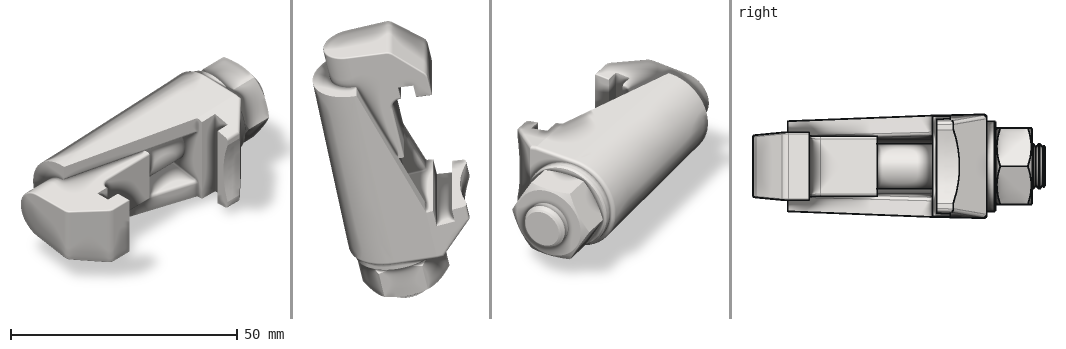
import cadquery as cq
import math


TOTAL_LENGTH = 64.55

STUD_DIAMETER = 10.0
STUD_RADIUS = STUD_DIAMETER / 2
STUD_ROOT_RADIUS = 4.25
STUD_END_RADIUS = 4.2
STUD_LEAD_RADIUS = 4.6
STUD_LEAD_LENGTH = 0.25
STUD_ENGAGEMENT = STUD_DIAMETER
STUD_TOP = 12.85
THREAD_PITCH = 1.5
FIRST_ROOT_DEPTH = 0.5
CREST_WIDTH = 0.2
EXPOSED_THREADS = 2

WASHER_RADIUS = 10.0
WASHER_THICKNESS = 2.0
WASHER_CHAMFER = 0.4
NUT_ACROSS_FLATS = 17.0
NUT_HEIGHT = 8.0
NUT_TOP = WASHER_THICKNESS + NUT_HEIGHT
NUT_FACE_RADIUS = 8.1
NUT_CHAMFER_ANGLE = 30

HOUSING_LENGTH = 44.0
HOUSING_TOP_RADIUS = 11.0
HOUSING_DRAFT = 1.3
HOUSING_SIDE_ANGLE = 3.3
RIDGE_X = 9.0
FLANGE_SIDE_ANGLE = 8.5
FLANGE_TIP_X = 17.75
FLANGE_SHOULDER_X = 10.3
FLANGE_TIP_Y = -11.1
JAW_SLOT_TOP_Y = -8.05
JAW_SLOT_X = (10.5, 14.6)
LEDGE_Y = -12.0
TIP_HOLLOW_RADIUS = 25.0
TIP_HOLLOW_DEPTH = 1.35
HOUSING_ROUND = 0.8
LEDGE_ROUND = 0.4

SHANK_RADIUS = 6.0
SHANK_SIDE_ANGLE = 5.5
HOOK_TOP_Y = -24.25
HOOK_BOTTOM_Y = STUD_TOP - TOTAL_LENGTH
STUD_BOTTOM = HOOK_TOP_Y - STUD_ENGAGEMENT
HOOK_BACK_X = 6.6
HOOK_TIP_X = 16.0
HOOK_TIP_Y = -39.25
HOOK_SLOT_FLOOR_Y = -42.4
HOOK_SLOT_X = (9.0, 12.45)
HOOK_BEVEL = 7.0
HOOK_BEVEL_ROUND = 2.0
HOOK_EDGE_ROUND = 0.3
HOOK_BACK_ROUND = 0.5

FULL_WIDTH = 32.3


def disc(radius, y_low, y_high):
    """Solid cylinder on the stud axis."""
    return cq.Workplane("XZ", origin=(0, y_high, 0)).circle(radius).extrude(y_high - y_low)


def plate(outline):
    """Closed outline in X and Y, made thick along Z on both sides of the stud axis."""
    return outline.extrude(FULL_WIDTH / 2, both=True)


def turn(profile):
    """Half profile of (radius, y) points, turned about the stud axis."""
    return cq.Workplane("XY").polyline(profile).close().revolve(360, (0, 0, 0), (0, 1, 0))


def u_section(y, radius, side_angle, end_x, tip=()):
    """Round-backed section whose straight sides leave the arc at side_angle and end at end_x.

    The optional tip, an end x and an angle, carries the sides on beyond end_x, closing again.
    """
    angle = math.radians(side_angle)
    tangent_x = -radius * math.sin(angle)
    tangent_z = radius * math.cos(angle)
    end_z = tangent_z + (end_x - tangent_x) * math.tan(angle)
    upper = [(tangent_x, tangent_z), (end_x, end_z)]
    if tip:
        tip_x, tip_angle = tip
        upper.append((tip_x, end_z - (tip_x - end_x) * math.tan(math.radians(tip_angle))))
    section = cq.Workplane("XZ", origin=(0, y, 0)).moveTo(*upper[0])
    for point in upper[1:]:
        section = section.lineTo(*point)
    for x, z in reversed(upper):
        section = section.lineTo(x, -z)
    return section.threePointArc((-radius, 0), upper[0]).close()


def make_housing():
    drafted = u_section(
        0, HOUSING_TOP_RADIUS, HOUSING_SIDE_ANGLE, RIDGE_X, tip=(2 * FLANGE_TIP_X, FLANGE_SIDE_ANGLE)
    ).extrude(HOUSING_LENGTH, taper=HOUSING_DRAFT)

    left_x = -2 * HOUSING_TOP_RADIUS
    outline = [
        (left_x, 0),
        (FLANGE_SHOULDER_X, 0),
        (FLANGE_TIP_X, FLANGE_SHOULDER_X - FLANGE_TIP_X),
        (FLANGE_TIP_X, FLANGE_TIP_Y),
        (JAW_SLOT_X[1], FLANGE_TIP_Y),
        (JAW_SLOT_X[1], JAW_SLOT_TOP_Y),
        (JAW_SLOT_X[0], JAW_SLOT_TOP_Y),
        (JAW_SLOT_X[0], LEDGE_Y),
        (RIDGE_X, LEDGE_Y),
        (0, -HOUSING_LENGTH),
        (left_x, -HOUSING_LENGTH),
    ]
    body = drafted.intersect(plate(cq.Workplane("XY").polyline(outline).close()))

    rim_edges = body.faces(">Y").edges("not |Z")
    back_edges = body.faces("<(-1, -1, 0)").edges("not |Z")
    tip_edges = body.faces(">X").edges("not |Z")
    body = rim_edges.add(back_edges).add(tip_edges).fillet(HOUSING_ROUND)

    hollow_x = FLANGE_TIP_X - TIP_HOLLOW_DEPTH + TIP_HOLLOW_RADIUS
    body = body.cut(disc(TIP_HOLLOW_RADIUS, -HOUSING_LENGTH, 0).translate((hollow_x, 0, 0)))

    guide = u_section(LEDGE_Y, SHANK_RADIUS, SHANK_SIDE_ANGLE, 2 * RIDGE_X).extrude(HOUSING_LENGTH)
    body = body.cut(guide).cut(disc(STUD_RADIUS, LEDGE_Y, 0))

    slope_middle = (RIDGE_X / 2, (LEDGE_Y - HOUSING_LENGTH) / 2)
    for side in (1, -1):
        slot_edge = cq.selectors.NearestToPointSelector((*slope_middle, side * SHANK_RADIUS))
        body = body.edges(slot_edge).fillet(HOUSING_ROUND)
    ledge_edges = cq.selectors.BoxSelector(
        (RIDGE_X - LEDGE_ROUND, LEDGE_Y - LEDGE_ROUND, SHANK_RADIUS),
        (RIDGE_X + LEDGE_ROUND, LEDGE_Y + LEDGE_ROUND, HOUSING_TOP_RADIUS),
    )
    mirrored_ledge_edges = cq.selectors.BoxSelector(
        (RIDGE_X - LEDGE_ROUND, LEDGE_Y - LEDGE_ROUND, -HOUSING_TOP_RADIUS),
        (RIDGE_X + LEDGE_ROUND, LEDGE_Y + LEDGE_ROUND, -SHANK_RADIUS),
    )
    return body.edges(ledge_edges + mirrored_ledge_edges).fillet(LEDGE_ROUND)


def make_washer():
    ring = disc(WASHER_RADIUS, 0, WASHER_THICKNESS).faces(">Y").edges().chamfer(WASHER_CHAMFER)
    return ring.cut(disc(STUD_RADIUS, 0, WASHER_THICKNESS))


def make_nut():
    corner_radius = NUT_ACROSS_FLATS / math.sqrt(3)
    top_plane = cq.Workplane("XZ", origin=(0, NUT_TOP, 0))
    hexagon = top_plane.polygon(6, 2 * corner_radius).extrude(NUT_HEIGHT)

    cone_length = (corner_radius - NUT_FACE_RADIUS) * math.tan(math.radians(NUT_CHAMFER_ANGLE))
    turned = turn([
        (0, WASHER_THICKNESS),
        (NUT_FACE_RADIUS, WASHER_THICKNESS),
        (corner_radius, WASHER_THICKNESS + cone_length),
        (corner_radius, NUT_TOP - cone_length),
        (NUT_FACE_RADIUS, NUT_TOP),
        (0, NUT_TOP),
    ])
    return hexagon.intersect(turned).cut(disc(STUD_RADIUS, WASHER_THICKNESS, NUT_TOP))


def make_stud():
    first_root_y = STUD_TOP - FIRST_ROOT_DEPTH
    profile = [
        (0, STUD_TOP),
        (STUD_END_RADIUS, STUD_TOP),
        (STUD_LEAD_RADIUS, STUD_TOP - STUD_LEAD_LENGTH),
    ]
    for thread in range(EXPOSED_THREADS):
        root_y = first_root_y - thread * THREAD_PITCH
        crest_y = root_y - THREAD_PITCH / 2
        profile.append((STUD_ROOT_RADIUS, root_y))
        profile.append((STUD_RADIUS, crest_y + CREST_WIDTH / 2))
        profile.append((STUD_RADIUS, crest_y - CREST_WIDTH / 2))
    profile += [(STUD_RADIUS, STUD_BOTTOM), (0, STUD_BOTTOM)]
    return turn(profile)


def make_hook():
    body = u_section(HOOK_TOP_Y, SHANK_RADIUS, SHANK_SIDE_ANGLE, 2 * HOOK_TIP_X).extrude(
        HOOK_TOP_Y - HOOK_BOTTOM_Y
    )

    left_x = -2 * SHANK_RADIUS
    throat_radius = HOOK_SLOT_X[0] - HOOK_BACK_X
    throat_start_y = HOOK_TIP_Y + throat_radius
    throat_middle = (
        HOOK_SLOT_X[0] - throat_radius * math.sqrt(0.5),
        throat_start_y - throat_radius * math.sqrt(0.5),
    )
    outline = (
        cq.Workplane("XY")
        .moveTo(left_x, HOOK_TOP_Y)
        .lineTo(HOOK_BACK_X, HOOK_TOP_Y)
        .lineTo(HOOK_BACK_X, throat_start_y)
        .threePointArc(throat_middle, (HOOK_SLOT_X[0], HOOK_TIP_Y))
        .lineTo(HOOK_SLOT_X[0], HOOK_SLOT_FLOOR_Y)
        .lineTo(HOOK_SLOT_X[1], HOOK_SLOT_FLOOR_Y)
        .lineTo(HOOK_SLOT_X[1], HOOK_TIP_Y)
        .lineTo(HOOK_TIP_X, HOOK_TIP_Y)
        .lineTo(HOOK_TIP_X, HOOK_BOTTOM_Y + HOOK_BEVEL)
        .lineTo(HOOK_TIP_X - HOOK_BEVEL, HOOK_BOTTOM_Y)
        .lineTo(left_x, HOOK_BOTTOM_Y)
        .close()
    )
    bevel_corners = cq.selectors.BoxSelector(
        (HOOK_TIP_X - HOOK_BEVEL - HOOK_EDGE_ROUND, HOOK_BOTTOM_Y - HOOK_EDGE_ROUND, -FULL_WIDTH),
        (HOOK_TIP_X + HOOK_EDGE_ROUND, HOOK_BOTTOM_Y + HOOK_BEVEL + HOOK_EDGE_ROUND, FULL_WIDTH),
    )
    side_plate = plate(outline).edges("|Z").edges(bevel_corners).fillet(HOOK_BEVEL_ROUND)
    body = body.intersect(side_plate)

    lower_edges = body.faces("<Y").edges("not |Z")
    tip_middle_x = (HOOK_SLOT_X[1] + HOOK_TIP_X) / 2
    tip_face = cq.selectors.NearestToPointSelector((tip_middle_x, HOOK_TIP_Y, 0))
    tip_edges = body.faces(tip_face).edges("not |Z")
    body = lower_edges.add(tip_edges).fillet(HOOK_EDGE_ROUND)
    back_face = cq.selectors.NearestToPointSelector((HOOK_BACK_X, (HOOK_TOP_Y + throat_start_y) / 2, 0))
    body = body.faces(back_face).edges("not |Z").fillet(HOOK_BACK_ROUND)

    return body.cut(disc(STUD_RADIUS, STUD_BOTTOM, HOOK_TOP_Y))


housing = make_housing()
hook = make_hook()
stud = make_stud()
washer = make_washer()
nut = make_nut()
result = cq.Compound.makeCompound([housing.val(), hook.val(), stud.val(), washer.val(), nut.val()])